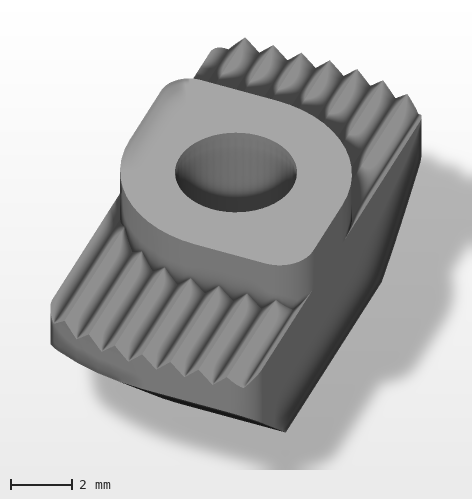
import cadquery as cq
import math

width = 7.7
length = 16.0
height = 6.0
tooth_pitch = length / 16
tooth_height = tooth_pitch / 2
tooth_crest_z = 4.5
shoulder_z = height / 2
corner_radius = 1.0
boss_turn_radius = 4.0
boss_front_radius = 1.2
hole_diameter = 4.0

half_width = width / 2
half_length = length / 2
base_half_length = half_length - shoulder_z
tooth_valley_z = tooth_crest_z - tooth_height


def half_turn(solid):
    """Copy of a solid turned 180 degrees about the hole axis."""
    return solid.rotate((0, 0, 0), (0, 0, 1), 180)


def make_body():
    """Bar with tapered ends; two opposite corners are limited by a turning arc and cone."""
    arc_end_y = math.sqrt(half_length**2 - half_width**2)
    mid_x = half_width / 2
    mid_y = math.sqrt(half_length**2 - mid_x**2)
    outline = (
        cq.Workplane("XY")
        .moveTo(-half_width, half_length)
        .lineTo(0, half_length)
        .threePointArc((mid_x, mid_y), (half_width, arc_end_y))
        .lineTo(half_width, -half_length)
        .lineTo(0, -half_length)
        .threePointArc((-mid_x, -mid_y), (-half_width, -arc_end_y))
        .close()
        .extrude(tooth_crest_z)
        .edges("|Z and (<X or >X)")
        .fillet(corner_radius)
    )
    side_profile = (
        cq.Workplane("YZ")
        .polyline([
            (-base_half_length, 0),
            (base_half_length, 0),
            (half_length, shoulder_z),
            (half_length, tooth_crest_z),
            (-half_length, tooth_crest_z),
            (-half_length, shoulder_z),
        ])
        .close()
        .extrude(half_width, both=True)
    )
    turned = (
        cq.Workplane("XZ")
        .polyline([
            (0, 0),
            (base_half_length, 0),
            (half_length, shoulder_z),
            (half_length, tooth_crest_z),
            (0, tooth_crest_z),
        ])
        .close()
        .revolve(360, (0, 0, 0), (0, 1, 0))
    )
    quarter = cq.Workplane("XY").box(half_width, half_length, tooth_crest_z, centered=False)
    outside_cone = quarter.cut(turned)
    return outline.intersect(side_profile).cut(outside_cone).cut(half_turn(outside_cone))


def make_tooth_grooves():
    """V grooves along Y, with a crest on the centre line."""
    groove = (
        cq.Workplane("XZ")
        .polyline([
            (-tooth_pitch / 2, tooth_crest_z),
            (0, tooth_valley_z),
            (tooth_pitch / 2, tooth_crest_z),
        ])
        .close()
        .extrude(half_length, both=True)
    )
    grooves_per_side = math.ceil(half_width / tooth_pitch)
    positions = [
        ((i + 0.5) * tooth_pitch, 0, 0) for i in range(-grooves_per_side, grooves_per_side)
    ]
    grooves = cq.Workplane("XY")
    for position in positions:
        grooves = grooves.add(groove.translate(position))
    return grooves.combine()


def make_boss():
    """Square boss with two large opposite rounds that let it turn in a slot."""
    boss = (
        cq.Workplane("XY", origin=(0, 0, shoulder_z))
        .rect(width, width)
        .extrude(height - shoulder_z)
    )
    corner_radii = [
        (1, 1, boss_turn_radius),
        (-1, -1, boss_turn_radius),
        (-1, 1, corner_radius),
        (1, -1, boss_front_radius),
    ]
    for side_x, side_y, radius in corner_radii:
        corner = (side_x * half_width, side_y * half_width, height)
        boss = boss.edges("|Z").edges(cq.NearestToPointSelector(corner)).fillet(radius)
    return boss


hole = cq.Workplane("XY").circle(hole_diameter / 2).extrude(height)
result = make_body().cut(make_tooth_grooves()).union(make_boss()).cut(hole)